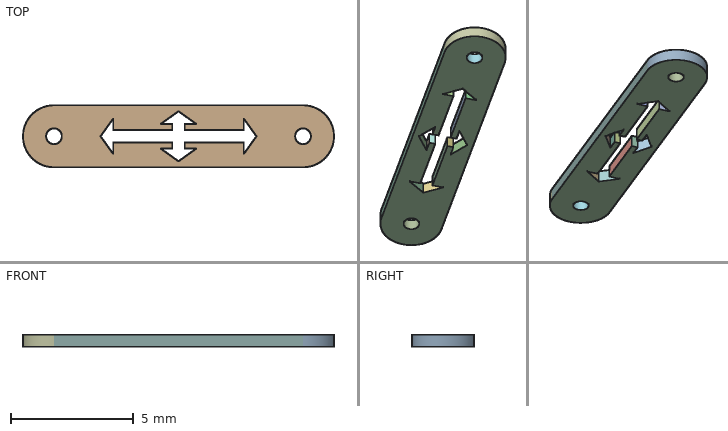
import cadquery as cq

length = 12.7
width = 2.54
thickness = 0.51

hole_diameter = 0.64
hole_spacing = length - width

long_arrow_length = length / 2
short_arrow_length = 2.03
shaft_width = 0.51
head_length = 0.51
head_width = 1.42


def double_arrow(arrow_length, angle):
    """Through-cutter: a double-headed arrow on the plate centre, turned about Z."""
    tip = arrow_length / 2
    neck = tip - head_length
    half_shaft = shaft_width / 2
    half_head = head_width / 2
    outline = [
        (tip, 0),
        (neck, half_head),
        (neck, half_shaft),
        (-neck, half_shaft),
        (-neck, half_head),
        (-tip, 0),
        (-neck, -half_head),
        (-neck, -half_shaft),
        (neck, -half_shaft),
        (neck, -half_head),
    ]
    arrow = cq.Workplane("XY").polyline(outline).close().extrude(thickness)
    return arrow.rotate((0, 0, 0), (0, 0, 1), angle)


plate = cq.Workplane("XY").slot2D(length, width).extrude(thickness)

plate = (
    plate.faces(">Z").workplane()
    .rarray(hole_spacing, 0.13, 2, 1)
    .hole(hole_diameter)
)

plate = plate.cut(double_arrow(long_arrow_length, 0))
plate = plate.cut(double_arrow(short_arrow_length, 90))

result = plate